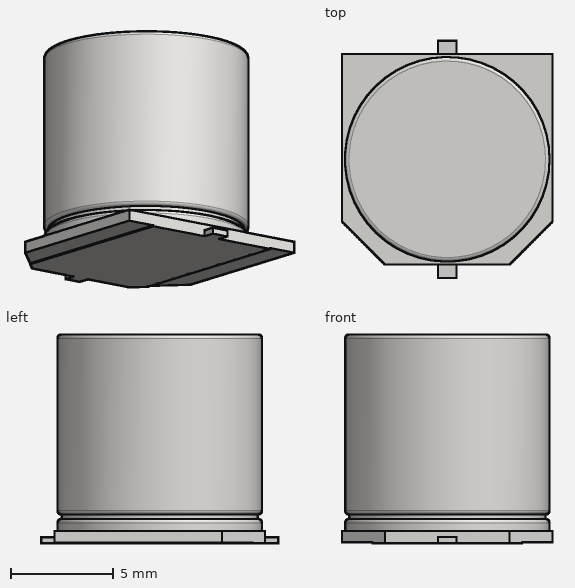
import cadquery as cq
import math

BASE_SIDE = 10.3
BASE_TOP = 0.6
CORNER_CUT = 2.11
STANDOFF_HEIGHT = 0.05
STANDOFF_WIDTH = 7.31

TERMINAL_SPAN = 11.6
TERMINAL_WIDTH = 0.9
TERMINAL_THICKNESS = 0.3

CAN_RADIUS = 5.0
CAN_TOP = 10.21
EDGE_RADIUS = 0.2
GROOVE_START = 1.0
GROOVE_END = 1.6


def make_base():
    """Square plate with the two -Y corners cut off, on a narrower standoff."""
    plate = (
        cq.Workplane("XY")
        .box(BASE_SIDE, BASE_SIDE, BASE_TOP, centered=(True, True, False))
        .edges("|Z and <Y")
        .chamfer(CORNER_CUT)
    )
    side_relief_width = (BASE_SIDE - STANDOFF_WIDTH) / 2
    relief_center = (BASE_SIDE - side_relief_width) / 2
    for side in (-1, 1):
        relief = (
            cq.Workplane("XY")
            .center(side * relief_center, 0)
            .box(side_relief_width, BASE_SIDE, STANDOFF_HEIGHT, centered=(True, True, False))
        )
        plate = plate.cut(relief)
    return plate


def make_terminals():
    """One flat strip whose ends stick out past the base along Y."""
    return cq.Workplane("XY").box(
        TERMINAL_WIDTH, TERMINAL_SPAN, TERMINAL_THICKNESS, centered=(True, True, False)
    )


def make_can():
    """Revolved can with quarter-round edges at its top and on both sides of the groove."""
    neck_radius = CAN_RADIUS - EDGE_RADIUS
    diagonal = EDGE_RADIUS * math.sqrt(0.5)
    arc_middle_radius = neck_radius + diagonal
    lower_arc_center = GROOVE_START
    upper_arc_center = GROOVE_END
    top_arc_center = CAN_TOP - EDGE_RADIUS
    return (
        cq.Workplane("XZ")
        .moveTo(0, BASE_TOP)
        .lineTo(CAN_RADIUS, BASE_TOP)
        .lineTo(CAN_RADIUS, lower_arc_center)
        .threePointArc(
            (arc_middle_radius, lower_arc_center + diagonal),
            (neck_radius, lower_arc_center + EDGE_RADIUS),
        )
        .lineTo(neck_radius, upper_arc_center - EDGE_RADIUS)
        .threePointArc(
            (arc_middle_radius, upper_arc_center - diagonal),
            (CAN_RADIUS, upper_arc_center),
        )
        .lineTo(CAN_RADIUS, top_arc_center)
        .threePointArc(
            (arc_middle_radius, top_arc_center + diagonal),
            (neck_radius, CAN_TOP),
        )
        .lineTo(0, CAN_TOP)
        .close()
        .revolve(360, (0, 0, 0), (0, 1, 0))
    )


result = make_base().union(make_terminals()).union(make_can())